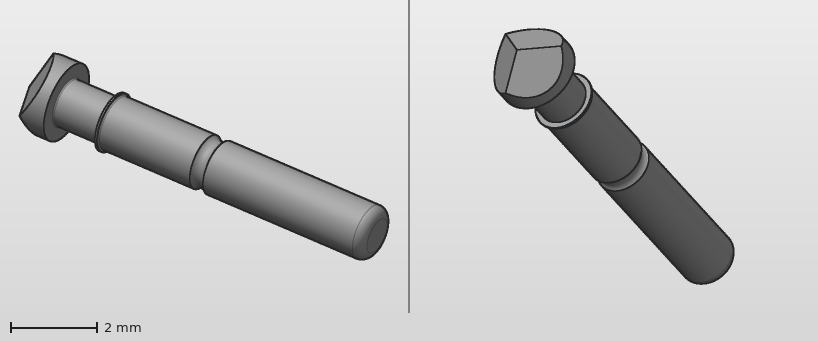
import cadquery as cq

length = 9.6
head_radius = 0.98
head_end = 1.03
facet_count = 3
facet_depth = 0.71

neck_radius = 0.6
collar_radius = 0.74
collar_start = 2.28
collar_width = 0.06
body_radius = 0.68
end_round = 0.25
root_round = 0.03

groove_center = 5.05
groove_width = 0.36
groove_depth = 0.09


def turned_pin():
    """Revolve the half profile of the head, neck, collar and grooved body."""
    collar_end = collar_start + collar_width
    groove_start = groove_center - groove_width / 2
    groove_end = groove_center + groove_width / 2
    return (
        cq.Workplane("XY")
        .lineTo(0, head_radius)
        .lineTo(head_end, head_radius)
        .lineTo(head_end, neck_radius + root_round)
        .radiusArc((head_end + root_round, neck_radius), -root_round)
        .lineTo(collar_start, neck_radius)
        .lineTo(collar_start, collar_radius)
        .lineTo(collar_end, collar_radius)
        .lineTo(collar_end, body_radius + root_round)
        .radiusArc((collar_end + root_round, body_radius), -root_round)
        .lineTo(groove_start, body_radius)
        .threePointArc((groove_center, body_radius - groove_depth), (groove_end, body_radius))
        .lineTo(length, body_radius)
        .lineTo(length, 0)
        .close()
        .revolve(360, (0, 0, 0), (1, 0, 0))
        .faces(">X")
        .edges()
        .fillet(end_round)
    )


def facet_cutter(angle):
    """Wedge of waste in front of one tip facet, turned about X from +Y."""
    reach = 2 * head_radius
    reach_depth = facet_depth * reach / head_radius
    return (
        cq.Workplane("XY")
        .polyline([(-reach_depth, -reach), (reach_depth, reach), (-reach_depth, reach)])
        .close()
        .extrude(reach, both=True)
        .rotate((0, 0, 0), (1, 0, 0), angle)
    )


result = turned_pin()
for index in range(facet_count):
    result = result.cut(facet_cutter(index * 360 / facet_count))